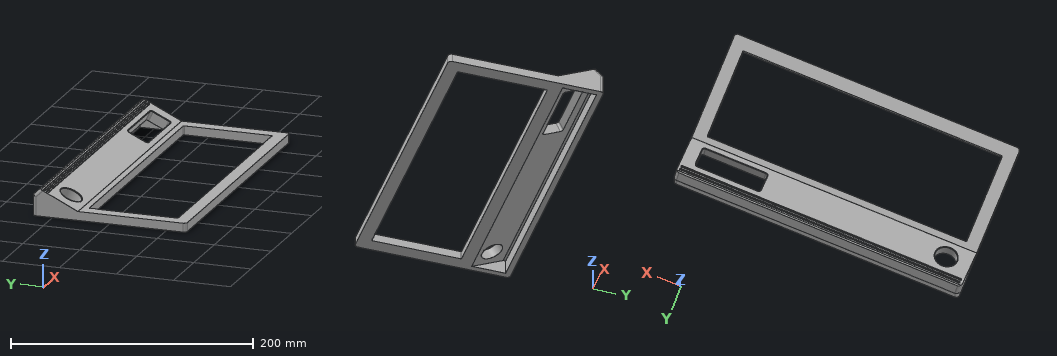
import cadquery as cq
import math

width = 255.0
depth = 135.0
height = 23.5
front_y = -depth / 2
back_y = depth / 2

plate_height = 8.0
slope_foot_y = 27.5
ridge_front_y = 60.2
ridge_back_y = 61.7
back_height = 18.0
corner_radius = 3.0
slope_angle = math.atan2(height - plate_height, ridge_front_y - slope_foot_y)
slope_length = math.hypot(height - plate_height, ridge_front_y - slope_foot_y)

window_width = 231.5
window_front_border = 11.5
window_depth = 77.8
window_corner_radius = 0.8

opening_position = 15.0
hole_diameter = 19.0
hole_x = -105.8
opening_chamfer = 0.5
slot_width = 58.0
slot_height = 19.5
slot_x = 86.0
slot_corner_radius = 2.0

groove_count = 2
groove_width = 1.6
groove_pitch = 3.0
groove_length = 250.5
groove_depth = 1.3
first_groove_inset = 2.3

skin_thickness = 9.5
hollow_wall = 5.0


def on_slope(x, distance):
    """Workplane on the slope, `distance` up from its foot, with its normal pointing out."""
    origin = (
        x,
        slope_foot_y + distance * math.cos(slope_angle),
        plate_height + distance * math.sin(slope_angle),
    )
    normal = (0, -math.sin(slope_angle), math.cos(slope_angle))
    return cq.Workplane(cq.Plane(origin=origin, xDir=(1, 0, 0), normal=normal))


def make_body():
    """Extruded side profile, rounded at the upright corners and along the ends of the bevel."""
    profile = [
        (front_y, 0),
        (back_y, 0),
        (back_y, back_height),
        (ridge_back_y, height),
        (ridge_front_y, height),
        (slope_foot_y, plate_height),
        (front_y, plate_height),
    ]
    body = cq.Workplane("YZ").polyline(profile).close().extrude(width / 2, both=True)
    bevel_ends = cq.selectors.BoxSelector(
        (-width, ridge_back_y, back_height), (width, back_y, height)
    )
    rounded = body.edges("|Z").add(body.edges(bevel_ends).edges("not |X"))
    return rounded.fillet(corner_radius)


def make_window():
    window_y = front_y + window_front_border + window_depth / 2
    window = cq.Workplane("XY").center(0, window_y).rect(window_width, window_depth).extrude(plate_height)
    return window.edges("|Z").fillet(window_corner_radius)


def make_hollow():
    """Wedge open at the bottom, its roof parallel to the slope and level behind the ridge."""
    skin_drop = skin_thickness / math.cos(slope_angle)
    start_y = slope_foot_y + (skin_drop - plate_height) / math.tan(slope_angle)
    end_y = back_y - hollow_wall
    peak_z = height - skin_drop
    outline = [(start_y, 0), (end_y, 0), (end_y, peak_z), (ridge_front_y, peak_z)]
    half_width = width / 2 - hollow_wall
    return cq.Workplane("YZ").polyline(outline).close().extrude(half_width, both=True)


def make_opening(outline, position_x):
    """Through cut square to the slope with a chamfered rim; `outline` draws its shape."""
    plane = on_slope(position_x, opening_position)
    through = outline(plane, 0).extrude(height, both=True)
    rim = outline(plane, opening_chamfer).extrude(-opening_chamfer, taper=45)
    return through.union(rim)


def hole_outline(plane, growth):
    return plane.circle(hole_diameter / 2 + growth)


def slot_outline(plane, growth):
    sketch = cq.Sketch().rect(slot_width + 2 * growth, slot_height + 2 * growth)
    sketch = sketch.vertices().fillet(slot_corner_radius + growth)
    return plane.placeSketch(sketch)


def make_groove(index):
    distance = slope_length - first_groove_inset - index * groove_pitch
    return on_slope(0, distance).slot2D(groove_length, groove_width).extrude(groove_depth, both=True)


result = make_body().cut(make_window()).cut(make_hollow())
result = result.cut(make_opening(hole_outline, hole_x))
result = result.cut(make_opening(slot_outline, slot_x))
for groove_index in range(groove_count):
    result = result.cut(make_groove(groove_index))